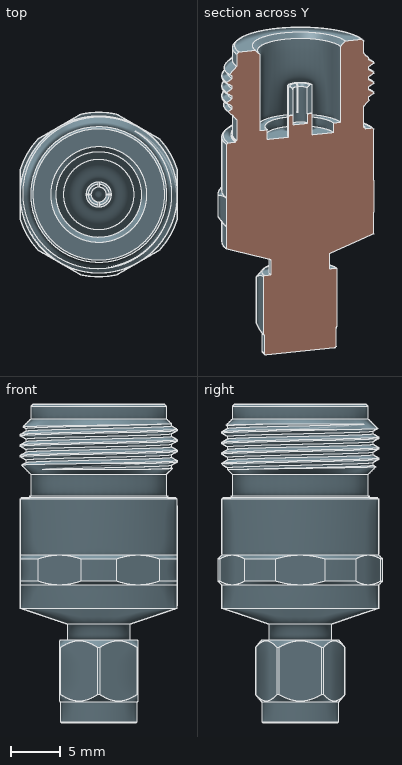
import cadquery as cq
import math

TOTAL_HEIGHT = 32.2

SLEEVE_DIAMETER = 7.76
SLEEVE_CHAMFER = 0.12
NUT_BOTTOM_Z = 2.1
NUT_TOP_Z = 8.4
NUT_ACROSS_FLATS = 7.94
NUT_CORNER_DIAMETER = 9.02
NUT_CHAMFER_HEIGHT = 0.76

STEM_DIAMETER = 6.35
CONE_BOTTOM_Z = 9.97
CONE_TOP_Z = 11.58

BODY_DIAMETER = 15.88
BODY_TOP_Z = 22.75
BODY_CHAMFER = 0.15
BODY_STEP_DIAMETER = 14.0
BODY_STEP_HEIGHT = 0.15
BODY_SEAM_ANGLE = 180

FLATS_BOTTOM_Z = 13.94
FLATS_TOP_Z = 16.95
FLATS_CORNER_DIAMETER = 16.65
FLATS_CHAMFER = (FLATS_CORNER_DIAMETER - BODY_DIAMETER) / 2

JACK_DIAMETER = 13.72
JACK_CHAMFER = 0.22
THREAD_DIAMETER = BODY_DIAMETER
INCH = 25.4
THREADS_PER_INCH = 24
THREAD_PITCH = INCH / THREADS_PER_INCH
THREAD_BOTTOM_Z = 25.1
THREAD_TOP_Z = 30.7
THREAD_RUNOUT = (THREAD_DIAMETER - JACK_DIAMETER) / 2
GROOVE_ROOT_WIDTH = THREAD_PITCH / 4
GROOVE_CREST_WIDTH = THREAD_PITCH * 7 / 8
GROOVE_HALF_ANGLE = math.radians(30)
GROOVE_OVERSHOOT = 0.15
GROOVE_START_Z = 24.83
GROOVE_TURNS = 5 + 1 / 6

BORE_DIAMETER = 8.64
BORE_MOUTH_DIAMETER = 9.68
BORE_MOUTH_CHAMFER = (BORE_MOUTH_DIAMETER - BORE_DIAMETER) / 2
BORE_DEPTH = 8.5
FLOOR_DIAMETER = 7.11
FLOOR_DEPTH = 9.5

CONTACT_DIAMETER = 2.54
CONTACT_TIP_DEPTH = 4.25
CONTACT_BORE_DIAMETER = 1.52
CONTACT_MOUTH_DIAMETER = 2.1
CONTACT_BORE_DEPTH = 4.0
CONTACT_SLOT_WIDTH = 0.12
CONTACT_SLOT_DEPTH = 3.0


def cylinder(diameter, bottom, top):
    return cq.Workplane("XY").workplane(offset=bottom).circle(diameter / 2).extrude(top - bottom)


def turned(points):
    """Solid of revolution about Z from (radius, z) points that start and end on the axis."""
    return cq.Workplane("XZ").polyline(points).close().revolve(360, (0, 0, 0), (0, 1, 0))


def chamfered_hexagon(across_flats, corner_diameter, face_diameter, bottom, top, chamfer_height):
    """Hexagon with flats on +/-X, its corners turned round and beveled at both ends."""
    hexagon = (
        cq.Workplane("XY")
        .workplane(offset=bottom)
        .transformed(rotate=(0, 0, 30))
        .polygon(6, across_flats / math.cos(math.pi / 6))
        .extrude(top - bottom)
    )
    blank = turned([
        (0, bottom),
        (face_diameter / 2, bottom),
        (corner_diameter / 2, bottom + chamfer_height),
        (corner_diameter / 2, top - chamfer_height),
        (face_diameter / 2, top),
        (0, top),
    ])
    return hexagon.intersect(blank)


def coupling_nut():
    sleeve = cylinder(SLEEVE_DIAMETER, 0, NUT_BOTTOM_Z).faces("<Z").chamfer(SLEEVE_CHAMFER)
    hexagon = chamfered_hexagon(
        NUT_ACROSS_FLATS, NUT_CORNER_DIAMETER, SLEEVE_DIAMETER, NUT_BOTTOM_Z, NUT_TOP_Z, NUT_CHAMFER_HEIGHT
    )
    return sleeve.union(hexagon)


def body():
    stem_radius = STEM_DIAMETER / 2
    body_radius = BODY_DIAMETER / 2
    step_radius = BODY_STEP_DIAMETER / 2
    step_z = BODY_TOP_Z + BODY_STEP_HEIGHT
    jack_radius = JACK_DIAMETER / 2
    thread_radius = THREAD_DIAMETER / 2
    return turned([
        (0, NUT_TOP_Z),
        (stem_radius, NUT_TOP_Z),
        (stem_radius, CONE_BOTTOM_Z),
        (body_radius, CONE_TOP_Z),
        (body_radius, BODY_TOP_Z - BODY_CHAMFER),
        (body_radius - BODY_CHAMFER, BODY_TOP_Z),
        (step_radius, BODY_TOP_Z),
        (step_radius, step_z),
        (jack_radius, step_z),
        (jack_radius, THREAD_BOTTOM_Z),
        (thread_radius, THREAD_BOTTOM_Z + THREAD_RUNOUT),
        (thread_radius, THREAD_TOP_Z - THREAD_RUNOUT),
        (jack_radius, THREAD_TOP_Z),
        (jack_radius, TOTAL_HEIGHT - JACK_CHAMFER),
        (jack_radius - JACK_CHAMFER, TOTAL_HEIGHT),
        (0, TOTAL_HEIGHT),
    ])


def wrench_flats():
    return chamfered_hexagon(
        BODY_DIAMETER, FLATS_CORNER_DIAMETER, BODY_DIAMETER, FLATS_BOTTOM_Z, FLATS_TOP_Z, FLATS_CHAMFER
    )


def thread_groove():
    """Helical trapezoidal groove that enters at the lower end cone and ends on the upper one."""
    slope = math.tan(GROOVE_HALF_ANGLE)
    depth = (GROOVE_CREST_WIDTH - GROOVE_ROOT_WIDTH) / 2 / slope
    root_radius = THREAD_DIAMETER / 2 - depth
    outer_radius = THREAD_DIAMETER / 2 + GROOVE_OVERSHOOT
    root_half = GROOVE_ROOT_WIDTH / 2
    outer_half = root_half + (outer_radius - root_radius) * slope
    helix = cq.Wire.makeHelix(THREAD_PITCH, GROOVE_TURNS * THREAD_PITCH, root_radius)
    groove = (
        cq.Workplane("XZ")
        .polyline([
            (root_radius, -root_half),
            (outer_radius, -outer_half),
            (outer_radius, outer_half),
            (root_radius, root_half),
        ])
        .close()
        .sweep(cq.Workplane(helix), isFrenet=True)
    )
    return groove.translate((0, 0, GROOVE_START_Z))


def socket():
    bore_radius = BORE_DIAMETER / 2
    floor_radius = FLOOR_DIAMETER / 2
    return turned([
        (0, TOTAL_HEIGHT),
        (BORE_MOUTH_DIAMETER / 2, TOTAL_HEIGHT),
        (bore_radius, TOTAL_HEIGHT - BORE_MOUTH_CHAMFER),
        (bore_radius, TOTAL_HEIGHT - BORE_DEPTH),
        (floor_radius, TOTAL_HEIGHT - BORE_DEPTH),
        (floor_radius, TOTAL_HEIGHT - FLOOR_DEPTH),
        (0, TOTAL_HEIGHT - FLOOR_DEPTH),
    ])


def centre_contact():
    tip_z = TOTAL_HEIGHT - CONTACT_TIP_DEPTH
    bore_radius = CONTACT_BORE_DIAMETER / 2
    mouth_radius = CONTACT_MOUTH_DIAMETER / 2
    contact = cylinder(CONTACT_DIAMETER, TOTAL_HEIGHT - FLOOR_DEPTH, tip_z)
    bore = turned([
        (0, tip_z),
        (mouth_radius, tip_z),
        (bore_radius, tip_z - (mouth_radius - bore_radius)),
        (bore_radius, tip_z - CONTACT_BORE_DEPTH),
        (0, tip_z - CONTACT_BORE_DEPTH),
    ])
    contact = contact.cut(bore)
    for angle in (0, 90):
        slot = (
            cq.Workplane("XY")
            .workplane(offset=tip_z - CONTACT_SLOT_DEPTH)
            .transformed(rotate=(0, 0, angle))
            .rect(2 * CONTACT_DIAMETER, CONTACT_SLOT_WIDTH)
            .extrude(CONTACT_SLOT_DEPTH)
        )
        contact = contact.cut(slot)
    return contact


adapter = body().rotate((0, 0, 0), (0, 0, 1), BODY_SEAM_ANGLE).cut(thread_groove())
adapter = adapter.union(wrench_flats()).union(coupling_nut())
result = adapter.cut(socket()).union(centre_contact())